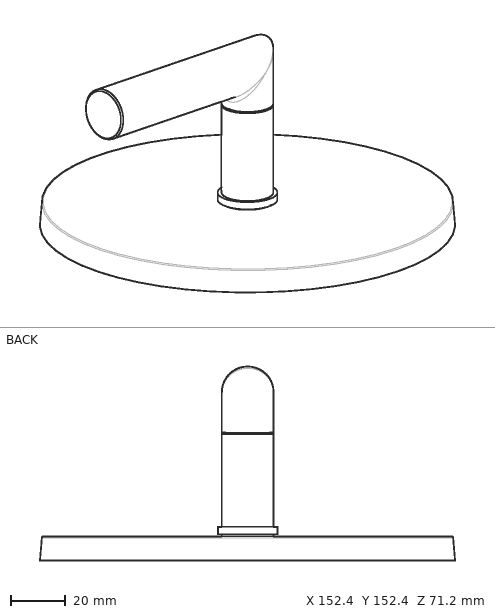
import cadquery as cq

overall_size = 152.4
overall_height = 71.2

plate_thickness = 8.8
plate_top_diameter = 150.9
plate_edge_radius = 0.5

stem_diameter = 19.0
collar_diameter = 22.0
collar_bottom = 9.6
collar_thickness = 2.7
joint_bottom = 46.3
joint_width = 0.6
joint_depth = 1.4

handle_end_chamfer = 0.6
inner_blend_radius = 2.1
outer_blend_radius = 0.6

stem_radius = stem_diameter / 2
handle_length = overall_size / 2
handle_height = overall_height - stem_radius
elbow_reach = 2 * stem_diameter


def cylinder(diameter, bottom, height):
    return cq.Workplane("XY").workplane(offset=bottom).circle(diameter / 2).extrude(height)


def prism_across_elbow(points):
    """Prism along X from (Y, Z) points measured from the crossing of the two axes."""
    return (
        cq.Workplane("YZ", origin=(-elbow_reach, 0, handle_height))
        .polyline(points)
        .close()
        .extrude(2 * elbow_reach)
    )


def make_plate():
    plate = (
        cq.Workplane("XY")
        .circle(overall_size / 2)
        .workplane(offset=plate_thickness)
        .circle(plate_top_diameter / 2)
        .loft(ruled=True)
    )
    return plate.faces(">Z").fillet(plate_edge_radius)


def make_stem():
    """Collared stem, cut off at 45 degrees where it meets the handle."""
    stem = cylinder(stem_diameter, 0, overall_height)
    collar = cylinder(collar_diameter, collar_bottom, collar_thickness)
    groove_floor_diameter = stem_diameter - 2 * joint_depth
    groove = cylinder(collar_diameter, joint_bottom, joint_width).cut(
        cylinder(groove_floor_diameter, joint_bottom, joint_width)
    )
    above_mitre = prism_across_elbow(
        [(-elbow_reach, -elbow_reach), (elbow_reach, elbow_reach), (-elbow_reach, elbow_reach)]
    )
    return stem.cut(above_mitre).union(collar).cut(groove)


def make_handle():
    """Bar along -Y with a chamfered end, cut off at 45 degrees where it meets the stem."""
    handle = (
        cq.Workplane("XZ", origin=(0, stem_radius, handle_height))
        .circle(stem_radius)
        .extrude(handle_length + stem_radius)
        .faces("<Y")
        .chamfer(handle_end_chamfer)
    )
    below_mitre = prism_across_elbow(
        [(-elbow_reach, -elbow_reach), (elbow_reach, elbow_reach), (elbow_reach, -elbow_reach)]
    )
    return handle.cut(below_mitre)


def blend_parts(ball_path_radius, ball_radius, side):
    """Bodies of a ball rolled along one half of the mitre, touching both cylinders.

    side is -1 for the inner half of the mitre and +1 for the outer half. Returns the wedge
    between the two lines of contact, the elliptic prism through the ball's path, and the
    tube swept by the ball.
    """
    mitre_plane = cq.Plane(origin=(0, 0, handle_height), xDir=(1, 0, 0), normal=(0, -1, 1))
    path_height = ball_path_radius * 2**0.5
    start_angle = 180 if side < 0 else 0
    path = cq.Workplane(mitre_plane).ellipseArc(
        ball_path_radius, path_height, start_angle, start_angle + 180, startAtCurrent=False
    )
    start_plane = cq.Plane(
        origin=path.val().startPoint(), xDir=(1, 0, 0), normal=path.val().tangentAt(0)
    )
    tube = cq.Workplane(start_plane).circle(ball_radius).sweep(path)
    path_prism = (
        cq.Workplane(mitre_plane).ellipse(ball_path_radius, path_height).extrude(elbow_reach, both=True)
    )
    long_leg = side * elbow_reach
    short_leg = long_leg * min(stem_radius, ball_path_radius) / max(stem_radius, ball_path_radius)
    wedge = prism_across_elbow(
        [(0, 0), (short_leg, long_leg), (long_leg, long_leg), (long_leg, short_leg)]
    )
    return wedge, path_prism, tube


def fill_inside_corner(elbow):
    """Rebuild the inside corner of the elbow with a fillet that runs out at both sides."""
    wedge, path_prism, tube = blend_parts(stem_radius + inner_blend_radius, inner_blend_radius, -1)
    filleted_corner = wedge.intersect(path_prism).cut(tube)
    return elbow.cut(wedge).union(filleted_corner)


def round_outside_edge(elbow):
    """Take the sharpness off the outer edge of the elbow."""
    wedge, path_prism, tube = blend_parts(stem_radius - outer_blend_radius, outer_blend_radius, 1)
    return elbow.cut(wedge.cut(path_prism).cut(tube))


lever = make_stem().union(make_handle())
lever = fill_inside_corner(lever)
lever = round_outside_edge(lever)
result = make_plate().union(lever).solids()